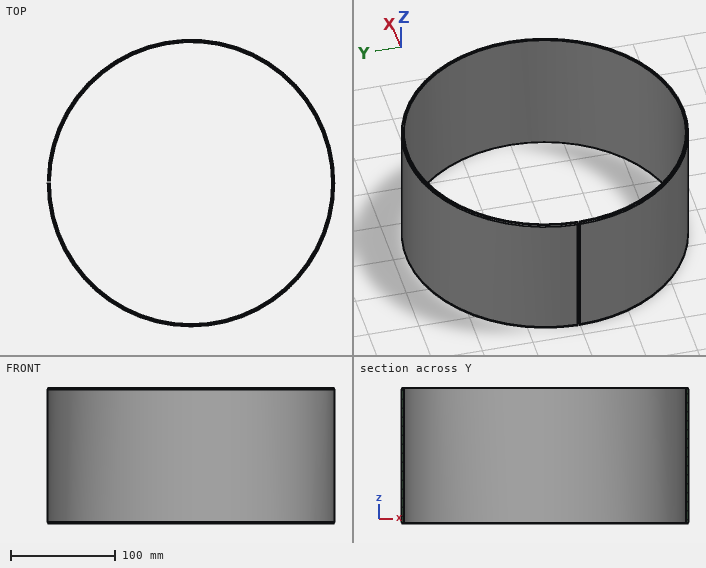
import cadquery as cq
import math

outer_diameter = 275.0
height = 130.0
wall = 2.5
outer_bevel_height = 1.8
outer_bevel_angle = 20.0
inner_bevel_height = 0.6
inner_bevel_angle = 30.0
gap_angle = 1.0

outer_radius = outer_diameter / 2
inner_radius = outer_radius - wall
outer_bevel_depth = outer_bevel_height * math.tan(math.radians(outer_bevel_angle))
inner_bevel_depth = inner_bevel_height * math.tan(math.radians(inner_bevel_angle))
top = height / 2
bottom = -top


def make_band():
    """Closed thin-walled ring about Z, bevelled on both sides of each rim."""
    rim_outer_radius = outer_radius - outer_bevel_depth
    rim_inner_radius = inner_radius + inner_bevel_depth
    section = (
        cq.Workplane("XZ")
        .moveTo(rim_inner_radius, bottom)
        .lineTo(rim_outer_radius, bottom)
        .lineTo(outer_radius, bottom + outer_bevel_height)
        .lineTo(outer_radius, top - outer_bevel_height)
        .lineTo(rim_outer_radius, top)
        .lineTo(rim_inner_radius, top)
        .lineTo(inner_radius, top - inner_bevel_height)
        .lineTo(inner_radius, bottom + inner_bevel_height)
        .close()
    )
    return section.revolve(360, (0, 0, 0), (0, 1, 0))


def make_gap_cutter():
    """Full-height wedge with its tip on the Z axis, from the -X axis toward +Y."""
    reach = outer_diameter
    gap_rise = reach * math.tan(math.radians(gap_angle))
    return (
        cq.Workplane("XY", origin=(0, 0, bottom))
        .polyline([(0, 0), (-reach, 0), (-reach, gap_rise)])
        .close()
        .extrude(height)
    )


result = make_band().cut(make_gap_cutter())